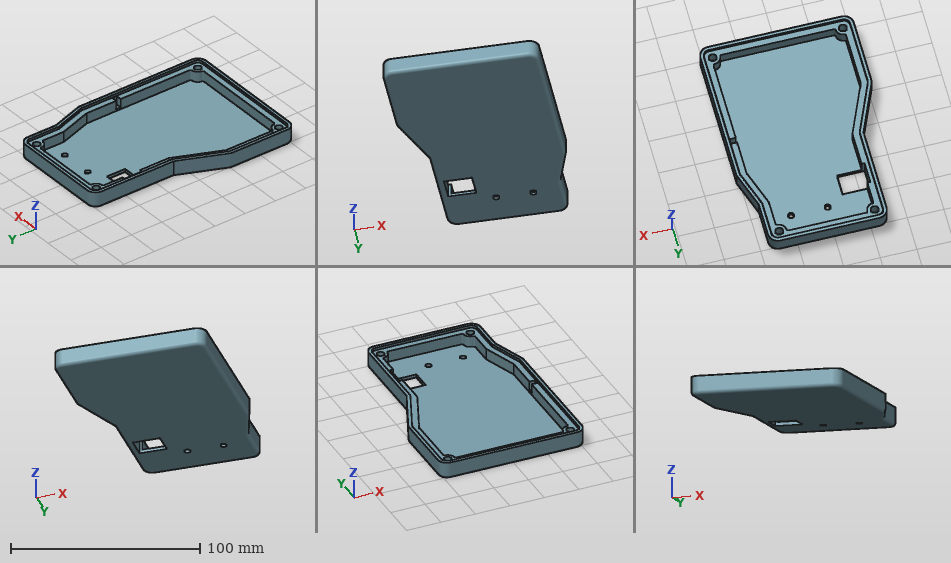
import cadquery as cq
import math

WIDTH = 83.8
LENGTH = 124.3
HEIGHT = 10.0

HEAD_LEFT = 12.2
HEAD_RIGHT = 77.0
LEFT_BEND_LOW = 42.4
LEFT_BEND_HIGH = 71.2
RIGHT_BEND_LOW = 80.0
RIGHT_BEND_HIGH = 100.3
CORNER_RADIUS = 5.3
BOTTOM_EDGE_RADIUS = 2.0

RIM_WIDTH = 2.0
CAVITY_INSET = 5.7
FLOOR_THICKNESS = 2.0
RIM_DEPTH = 1.5
LEDGE_Z = HEIGHT - RIM_DEPTH

SCREW_DIAMETER = 4.2
BOSS_RADIUS = 4.0
BOSS_BLEND_RADIUS = 1.0
EDGE_TOLERANCE = 0.01
SCREW_INSET = 6.2
RIGHT_SCREW_INSET = 6.5
HEAD_SCREW_INSET = 6.5
SCREW_POINTS = [
    (SCREW_INSET, SCREW_INSET),
    (WIDTH - RIGHT_SCREW_INSET, SCREW_INSET),
    (HEAD_LEFT + SCREW_INSET, LENGTH - HEAD_SCREW_INSET),
    (HEAD_RIGHT - HEAD_SCREW_INSET, LENGTH - HEAD_SCREW_INSET),
]

FLOOR_HOLE_DIAMETER = 3.2
FLOOR_HOLE_Y = 106.4
FLOOR_HOLE_XS = (41.0, 61.0)
WINDOW_LEFT = 16.3
WINDOW_BOTTOM = 89.0
WINDOW_WIDTH = 15.0
WINDOW_LENGTH = 11.8
NOTCH_BOTTOM = 56.7
NOTCH_LENGTH = 2.9
NOTCH_REACH = 3.5
NOTCH_DEPTH = 5.2


def outline():
    """Sharp-cornered outer profile, counterclockwise from the lower left."""
    return cq.Workplane("XY").polyline([
        (0, 0),
        (WIDTH, 0),
        (WIDTH, RIGHT_BEND_LOW),
        (HEAD_RIGHT, RIGHT_BEND_HIGH),
        (HEAD_RIGHT, LENGTH),
        (HEAD_LEFT, LENGTH),
        (HEAD_LEFT, LEFT_BEND_HIGH),
        (0, LEFT_BEND_LOW),
    ]).close()


def box(left, bottom, floor, width, length, height):
    """Axis-aligned box placed by its lower corner."""
    block = cq.Workplane("XY").box(width, length, height, centered=False)
    return block.translate((left, bottom, floor))


def prism(inset, corner_radius, floor, height):
    """Extruded outline, moved inward, with rounded end corners and lower left bend."""
    profile = outline()
    if inset:
        profile = profile.offset2D(-inset, "intersection")
    body = profile.extrude(height)
    if corner_radius:
        end_corners = body.edges("|Z").edges("<Y or >Y")
        lower_left_bend = body.edges("|Z").edges("<X").edges(">Y")
        body = end_corners.add(lower_left_bend).fillet(corner_radius)
    return body.translate((0, 0, floor))


def touches_boss(edge):
    """True for a vertical edge that lies on the outside of a screw boss."""
    center = edge.Center()
    distances = [math.hypot(center.x - x, center.y - y) for x, y in SCREW_POINTS]
    return any(math.isclose(d, BOSS_RADIUS, abs_tol=EDGE_TOLERANCE) for d in distances)


def cavity():
    """Main pocket, with its corners pushed in around the screw bosses."""
    depth = LEDGE_Z - FLOOR_THICKNESS
    pocket = prism(CAVITY_INSET, 0, FLOOR_THICKNESS, depth)
    bosses = cq.Workplane("XY", origin=(0, 0, FLOOR_THICKNESS)).pushPoints(SCREW_POINTS)
    pocket = pocket.cut(bosses.circle(BOSS_RADIUS).extrude(depth))
    boss_edges = [edge for edge in pocket.edges("|Z").vals() if touches_boss(edge)]
    return pocket.newObject(boss_edges).fillet(BOSS_BLEND_RADIUS)


def screw_holes():
    """Blind holes reaching from the ledge down to floor level."""
    holes = cq.Workplane("XY", origin=(0, 0, FLOOR_THICKNESS)).pushPoints(SCREW_POINTS)
    return holes.circle(SCREW_DIAMETER / 2).extrude(LEDGE_Z - FLOOR_THICKNESS)


def floor_holes():
    """Two round holes through the floor."""
    holes = cq.Workplane("XY").pushPoints([(x, FLOOR_HOLE_Y) for x in FLOOR_HOLE_XS])
    return holes.circle(FLOOR_HOLE_DIAMETER / 2).extrude(FLOOR_THICKNESS)


def window():
    """Rectangular opening through the floor that also cuts into the left ledge."""
    return box(WINDOW_LEFT, WINDOW_BOTTOM, 0, WINDOW_WIDTH, WINDOW_LENGTH, HEIGHT)


def ledge_notch():
    """Slot across the right ledge, open to the cavity."""
    left = WIDTH - CAVITY_INSET
    return box(left, NOTCH_BOTTOM, LEDGE_Z - NOTCH_DEPTH, NOTCH_REACH, NOTCH_LENGTH, NOTCH_DEPTH)


result = prism(0, CORNER_RADIUS, 0, HEIGHT).faces("<Z").edges().fillet(BOTTOM_EDGE_RADIUS)
result = result.cut(prism(RIM_WIDTH, CORNER_RADIUS - RIM_WIDTH, LEDGE_Z, RIM_DEPTH))
result = result.cut(cavity())
for opening in (screw_holes(), floor_holes(), window(), ledge_notch()):
    result = result.cut(opening)